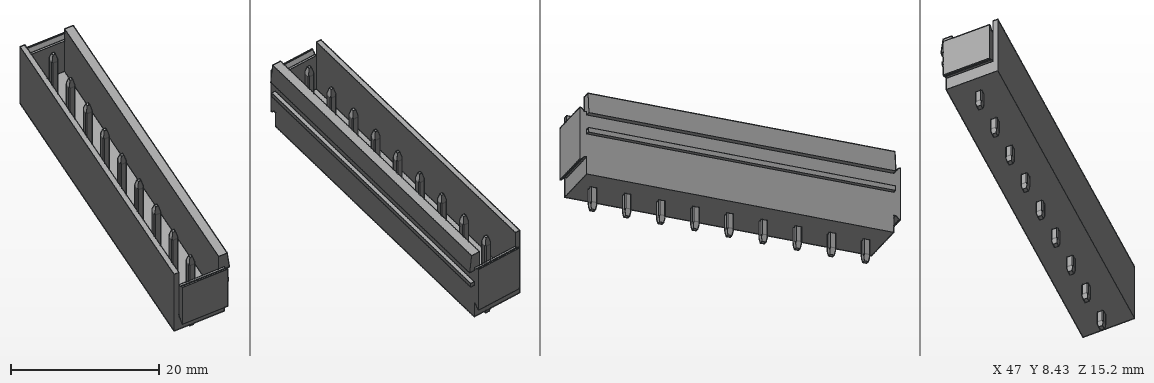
import cadquery as cq

pin_count = 9
pin_pitch = 5.0
pin_width = 1.0
pin_corner_chamfer = 0.15
pin_bottom = -3.2
pin_top = 11.1
lower_taper_length = 1.0
lower_tip_width = 0.6
upper_taper_length = 1.3
upper_tip_width = 0.4

housing_length = pin_count * pin_pitch
housing_height = 12.0
housing_front = -3.8
housing_back = 3.85
front_wall_thickness = 0.75
back_wall_thickness = 0.87
floor_height = 3.0

lip_bottom_z = 8.9
lip_bottom_y = 4.63
lip_top_y = 4.3

rib_bottom_z = 6.05
rib_height = 0.7
rib_depth = 0.6

plate_reach = 1.0
plate_bottom_z = 2.1
plate_top_z = 9.9
plate_neck = 0.3
plate_rim = 0.2
flare_height = 0.5

pin_positions = [(i - (pin_count - 1) / 2) * pin_pitch for i in range(pin_count)]
front_wall_inner = housing_front + front_wall_thickness
back_wall_inner = housing_back - back_wall_thickness
housing_end = housing_length / 2


def square_taper(base_z, base_width, tip_z, tip_width):
    """Square frustum running from the base level to the tip level."""
    base = cq.Workplane("XY", origin=(0, 0, base_z)).rect(base_width, base_width)
    return base.workplane(offset=tip_z - base_z).rect(tip_width, tip_width).loft(ruled=True)


def make_pin(x):
    """Square bar with chamfered long edges, its two ends narrowed by square tapers."""
    shank_bottom = pin_bottom + lower_taper_length
    shank_top = pin_top - upper_taper_length
    shank_length = shank_top - shank_bottom

    shank_base = cq.Workplane("XY", origin=(0, 0, shank_bottom))
    tapered_bar = shank_base.rect(pin_width, pin_width).extrude(shank_length)
    tapered_bar = tapered_bar.union(square_taper(shank_bottom, pin_width, pin_bottom, lower_tip_width))
    tapered_bar = tapered_bar.union(square_taper(shank_top, pin_width, pin_top, upper_tip_width))

    bar_base = cq.Workplane("XY", origin=(0, 0, pin_bottom))
    chamfered_bar = bar_base.rect(pin_width, pin_width).extrude(pin_top - pin_bottom)
    chamfered_bar = chamfered_bar.edges("|Z").chamfer(pin_corner_chamfer)

    return chamfered_bar.intersect(tapered_bar).translate((x, 0, 0))


def make_channel():
    """U-shaped profile with the lip and rib, extruded along the whole length."""
    rib_top_z = rib_bottom_z + rib_height
    rib_y = housing_back + rib_depth
    profile = [
        (housing_front, 0),
        (housing_back, 0),
        (housing_back, rib_bottom_z),
        (rib_y, rib_bottom_z),
        (rib_y, rib_top_z),
        (housing_back, rib_top_z),
        (housing_back, lip_bottom_z),
        (lip_bottom_y, lip_bottom_z),
        (lip_top_y, housing_height),
        (back_wall_inner, housing_height),
        (back_wall_inner, floor_height),
        (front_wall_inner, floor_height),
        (front_wall_inner, housing_height),
        (housing_front, housing_height),
    ]
    return cq.Workplane("YZ").polyline(profile).close().extrude(housing_end, both=True)


def make_end_plate():
    """End plate on the +X end; its rim is taller than the neck that joins the housing."""
    neck_x = housing_end + plate_neck
    outer_x = housing_end + plate_reach
    rim_x = outer_x - plate_rim
    neck_bottom_z = plate_bottom_z + flare_height
    neck_top_z = plate_top_z - flare_height
    profile = [
        (housing_end, neck_bottom_z),
        (neck_x, neck_bottom_z),
        (rim_x, plate_bottom_z),
        (outer_x, plate_bottom_z),
        (outer_x, plate_top_z),
        (rim_x, plate_top_z),
        (neck_x, neck_top_z),
        (housing_end, neck_top_z),
    ]
    plane = cq.Workplane("XZ", origin=(0, housing_back, 0))
    return plane.polyline(profile).close().extrude(housing_back - front_wall_inner)


pins = [make_pin(x) for x in pin_positions]

end_plate = make_end_plate()
housing = make_channel().union(end_plate).union(end_plate.mirror("YZ"))
for pin in pins:
    housing = housing.cut(pin)

result = cq.Compound.makeCompound([housing.val(), *[pin.val() for pin in pins]])